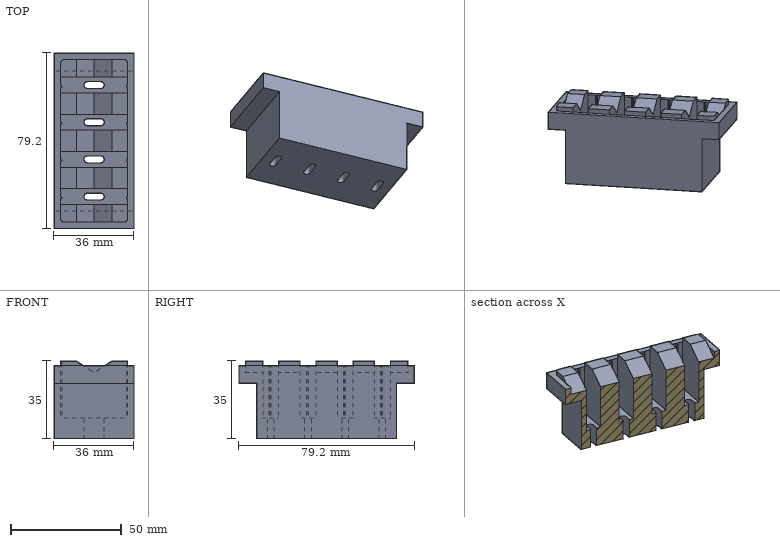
import cadquery as cq

width = 36.0
length = 79.2
body_length = 63.2
body_height = 24.95
flange_height = 8.0
flange_top = body_height + flange_height

rim = 2.9
recess_width = width - 2 * rim
recess_length = length - 2 * rim
recess_corner_radius = 1.6
bar_rise = 2.0
bar_top = flange_top + bar_rise

groove_half_width = 8.0
groove_depth = 5.2

slot_count = 4
slot_pitch = 16.8
slot_width = 7.1
slot_depth = 23.75
slot_floor = flange_top - slot_depth
slot_positions = [(i - (slot_count - 1) / 2) * slot_pitch for i in range(slot_count)]

drain_length = 9.0
drain_width = 3.0

rib_height = 0.55
rib_front = -0.8
rib_back = 0.15


def box(size_x, size_y, bottom, top):
    """Box centred on the Z axis between two heights."""
    return cq.Workplane("XY").workplane(offset=bottom).rect(size_x, size_y).extrude(top - bottom)


def make_block():
    """Body, flange and the raised block that becomes the crossbars."""
    body = box(width, body_length, 0, body_height)
    flange = box(width, length, body_height, flange_top)
    bar_block = box(recess_width, recess_length, flange_top, bar_top)
    return body.union(flange).union(bar_block.edges("|Z").fillet(recess_corner_radius))


def make_groove():
    """V-shaped cutter as long as the recess."""
    return (
        cq.Workplane("XZ", origin=(0, recess_length / 2, 0))
        .moveTo(-groove_half_width, bar_top)
        .lineTo(0, bar_top - groove_depth)
        .lineTo(groove_half_width, bar_top)
        .close()
        .extrude(recess_length)
    )


def make_rib():
    """Rib on the -X end wall, ramped on its +Y side and square on its -Y side."""
    wall_x = -recess_width / 2
    crest_x = wall_x + rib_height
    return (
        cq.Workplane("XY")
        .workplane(offset=slot_floor)
        .moveTo(wall_x, rib_back)
        .lineTo(crest_x, rib_back - rib_height)
        .lineTo(crest_x, rib_front)
        .lineTo(wall_x, rib_front)
        .close()
        .extrude(slot_depth)
    )


def make_slot():
    """Cutter for one slot and its drain hole, leaving a rib standing on each end wall."""
    slot = box(recess_width, slot_width, slot_floor, bar_top)
    rib = make_rib()
    drain = cq.Workplane("XY").slot2D(drain_length, drain_width).extrude(slot_floor)
    return slot.cut(rib).cut(rib.mirror("YZ")).union(drain)


result = make_block().cut(make_groove())
for slot_y in slot_positions:
    result = result.cut(make_slot().translate((0, slot_y, 0)))